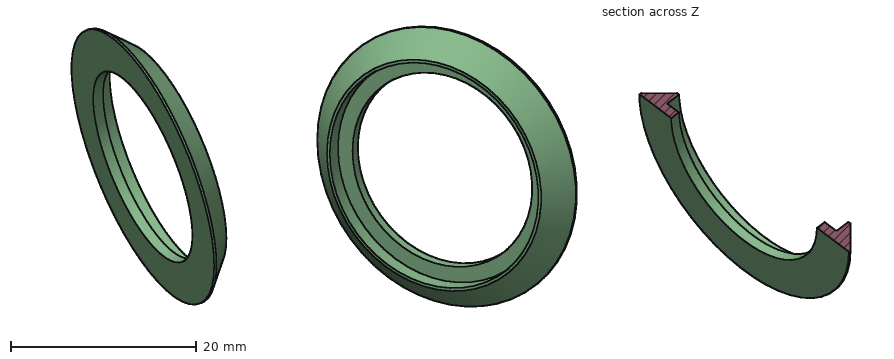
import cadquery as cq

outer_radius = 16.0
bore_radius = 11.1
thickness = 3.05

rim_width = 0.3
back_radius = outer_radius - (thickness - rim_width)

bore_depth = 1.2
counterbore_radius = 12.9

front_y = -thickness / 2
back_y = thickness / 2

section = [
    (bore_radius, front_y),
    (outer_radius, front_y),
    (outer_radius, front_y + rim_width),
    (back_radius, back_y),
    (counterbore_radius, back_y),
    (counterbore_radius, front_y + bore_depth),
    (bore_radius, front_y + bore_depth),
]

result = cq.Workplane("XY").polyline(section).close().revolve(360, (0, 0, 0), (0, 1, 0))